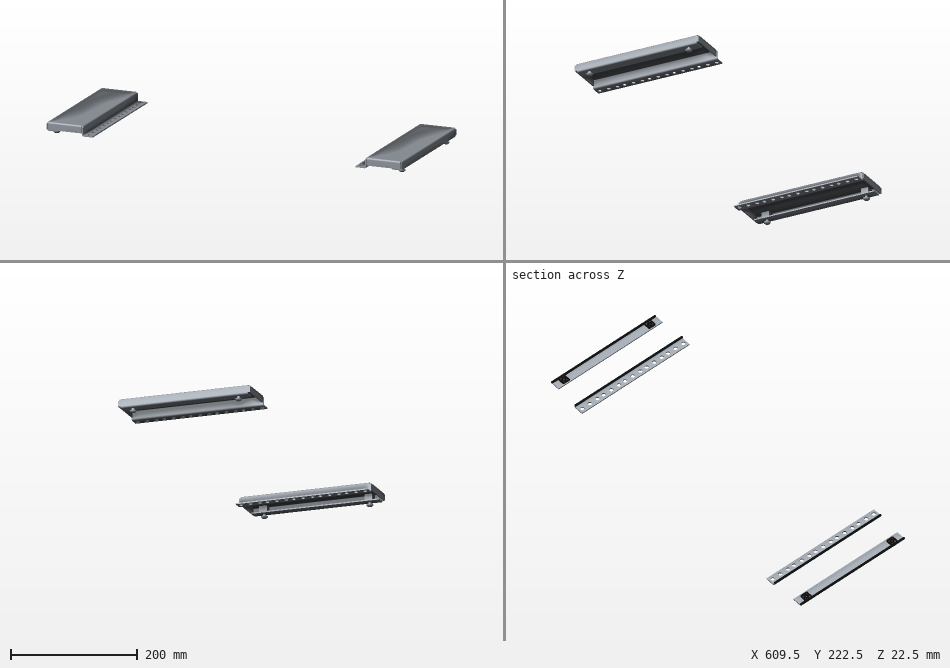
import cadquery as cq

span = 609.5
rack_unit = 44.5
rack_units = 5
length = rack_units * rack_unit

sheet = 2.0
bend_radius = 2.75
bend_middle = bend_radius - sheet / 2
bend_inside = bend_radius - sheet

top_z = 22.5
cover_width = 63.0
ear_reach = 79.0
lip_width = 17.5
lip_z = 7.5
wall_end_z = lip_z + bend_radius
lip_setback = 3.5

rack_hole_diameter = 7.0
rack_hole_inset = 72.0
rack_hole_small_step = 13.0
rack_hole_large_step = (rack_unit - rack_hole_small_step) / 2

fastener_ys = (-2 * rack_unit, 2 * rack_unit)
nut_width = 13.0
nut_top_z = 19.5
nut_bottom_z = lip_z + sheet
fastener_inset = sheet + nut_width / 2
window_width = 8.0
window_depth = 1.0
window_bottom_z = 13.0
window_top_z = 17.0
shank_diameter = 5.0
head_diameter = 11.0
head_height = 3.5
head_rim_z = 2.5
head_flat_diameter = 2.5

wall_x = -span / 2
fastener_x = wall_x + fastener_inset


def cover_section():
    """Lip, outer wall, top, inner wall and ear, swept as one folded sheet."""
    lip_middle = lip_z + sheet / 2
    ear_middle = lip_z - sheet / 2
    top_middle = top_z - sheet / 2
    outer_middle = wall_x + sheet / 2
    inner_middle = wall_x + cover_width - sheet / 2
    r = bend_middle
    path = (
        cq.Workplane("XZ")
        .moveTo(wall_x + lip_width, lip_middle)
        .lineTo(outer_middle + r, lip_middle)
        .tangentArcPoint((outer_middle, lip_middle + r), relative=False)
        .lineTo(outer_middle, top_middle - r)
        .tangentArcPoint((outer_middle + r, top_middle), relative=False)
        .lineTo(inner_middle - r, top_middle)
        .tangentArcPoint((inner_middle, top_middle - r), relative=False)
        .lineTo(inner_middle, ear_middle + r)
        .tangentArcPoint((inner_middle + r, ear_middle), relative=False)
        .lineTo(wall_x + ear_reach, ear_middle)
    )
    return (
        cq.Workplane("YZ", origin=(wall_x + lip_width, 0, lip_middle))
        .rect(length, sheet)
        .sweep(path)
    )


def corner_cuts():
    """Notches that free the folds at both ends of the cover."""
    top_cut = cq.Workplane().box(bend_radius, bend_radius, bend_radius)
    lip_cut = cq.Workplane().box(lip_width, lip_setback, bend_radius, centered=(False, True, False))
    cuts = cq.Workplane()
    for end in (-1, 1):
        corner_y = end * (length - bend_radius) / 2
        for corner_x in (wall_x + bend_radius / 2, wall_x + cover_width - bend_radius / 2):
            cuts = cuts.add(top_cut.translate((corner_x, corner_y, top_z - bend_radius / 2)))
        cuts = cuts.add(lip_cut.translate((wall_x, end * (length - lip_setback) / 2, lip_z)))
    return cuts.combine()


def end_flange():
    """Flange folded down at the -Y end, between the bends of the two walls."""
    end_y = -length / 2
    bend_y = end_y + bend_radius
    bend_z = top_z - bend_radius
    return (
        cq.Workplane("YZ", origin=(wall_x + bend_radius, 0, 0))
        .moveTo(bend_y, top_z)
        .radiusArc((end_y, bend_z), -bend_radius)
        .lineTo(end_y, wall_end_z)
        .lineTo(end_y + sheet, wall_end_z)
        .lineTo(end_y + sheet, bend_z)
        .radiusArc((bend_y, top_z - sheet), bend_inside)
        .close()
        .extrude(cover_width - 2 * bend_radius)
    )


def end_trim():
    """Strip of the top sheet at the -Y end, replaced by the bend of the end flange."""
    return (
        cq.Workplane()
        .box(cover_width - 2 * bend_radius, bend_radius, bend_radius, centered=(False, False, False))
        .translate((wall_x + bend_radius, -length / 2, top_z - bend_radius))
    )


def rack_holes():
    """Cylinders for the ear holes, three in each rack unit."""
    points = []
    for unit in range(rack_units):
        middle_y = (unit + 0.5) * rack_unit - length / 2
        for step in (-1, 0, 1):
            points.append((wall_x + rack_hole_inset, middle_y + step * rack_hole_large_step))
    return cq.Workplane().pushPoints(points).circle(rack_hole_diameter / 2).extrude(lip_z)


def shank_holes():
    """Cylinders for the holes where the screws pass through the lip."""
    points = [(fastener_x, y) for y in fastener_ys]
    return cq.Workplane().pushPoints(points).circle(shank_diameter / 2).extrude(nut_bottom_z)


def make_cover():
    """Folded left cover with its end flanges and holes."""
    cover = cover_section().cut(corner_cuts())
    trim = end_trim()
    flange = end_flange()
    cover = cover.cut(trim).cut(trim.mirror("XZ"))
    cover = cover.union(flange).union(flange.mirror("XZ"))
    return cover.cut(rack_holes()).cut(shank_holes())


def make_nut(y):
    """Square cage nut, rounded to sit in the lip bend, with a shallow window towards the wall."""
    nut = (
        cq.Workplane(origin=(fastener_x, y, nut_bottom_z))
        .rect(nut_width, nut_width)
        .circle(shank_diameter / 2)
        .extrude(nut_top_z - nut_bottom_z)
        .faces("<Z")
        .edges("<X")
        .fillet(bend_inside)
    )
    window = (
        cq.Workplane()
        .box(window_depth, window_width, window_top_z - window_bottom_z, centered=(False, True, False))
        .translate((fastener_x - nut_width / 2, y, window_bottom_z))
    )
    return nut.cut(window)


def make_screw(y):
    """Domed screw, its shank filling the bore of the nut."""
    shank_radius = shank_diameter / 2
    head_radius = head_diameter / 2
    return (
        cq.Workplane("XZ", origin=(fastener_x, y, 0))
        .lineTo(head_flat_diameter / 2, 0)
        .tangentArcPoint((head_radius, head_rim_z), relative=False)
        .lineTo(head_radius, head_height)
        .lineTo(shank_radius, head_height)
        .lineTo(shank_radius, nut_top_z)
        .lineTo(0, nut_top_z)
        .close()
        .revolve(360, (0, 0, 0), (0, 1, 0))
    )


left_bodies = [make_cover()]
for fastener_y in fastener_ys:
    left_bodies.append(make_nut(fastener_y))
    left_bodies.append(make_screw(fastener_y))
right_bodies = [body.mirror("YZ") for body in left_bodies]

result = cq.Compound.makeCompound([body.solids().val() for body in left_bodies + right_bodies])